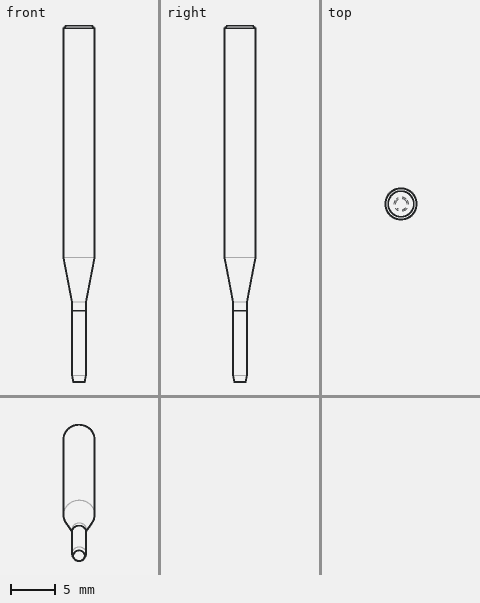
import cadquery as cq

total_length = 40.0
shank_diameter = 3.5
neck_diameter = 1.6
shank_chamfer = 0.3

head_length = 8.0
neck_length = 1.0
taper_length = 5.0

tip_height = 0.8
tip_diameter = 1.3

shank_radius = shank_diameter / 2
neck_radius = neck_diameter / 2
tip_radius = tip_diameter / 2
taper_bottom = head_length + neck_length
taper_top = taper_bottom + taper_length


def turned_body(outline):
    """Revolve a closed (radius, height) outline about the Z axis."""
    return cq.Workplane("XZ").polyline(outline).close().revolve(360, (0, 0, 0), (0, 1, 0))


def make_shank():
    """Chamfered cylinder tapering down to a short neck."""
    return turned_body([
        (0, head_length),
        (neck_radius, head_length),
        (neck_radius, taper_bottom),
        (shank_radius, taper_top),
        (shank_radius, total_length - shank_chamfer),
        (shank_radius - shank_chamfer, total_length),
        (0, total_length),
    ])


def make_cutting_head():
    """Plain cylinder with a tapered tip, butted against the neck."""
    return turned_body([
        (0, 0),
        (tip_radius, 0),
        (neck_radius, tip_height),
        (neck_radius, head_length),
        (0, head_length),
    ])


shank = make_shank()
cutting_head = make_cutting_head()

result = cq.Compound.makeCompound([shank.val(), cutting_head.val()])